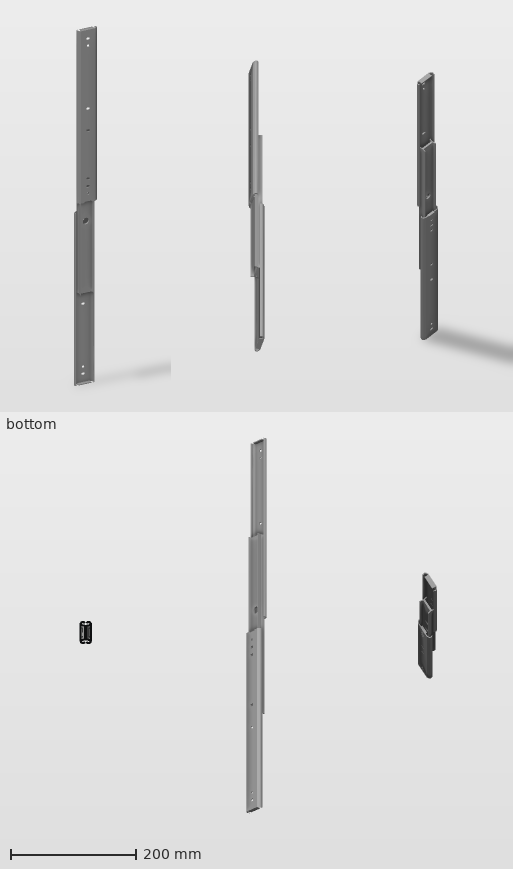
import cadquery as cq
import math


slide_length = 631.0
slide_height = 35.5
rail_length = 305.0

outer_wall = 1.6
outer_rail_bottom = -slide_length / 2
race_center_x = -4.5
race_width = 10.0
web_face_x = race_center_x - race_width / 2
web_half_height = 12.5
race_top = slide_height / 2
race_shoulder_x = -7.25
race_shoulder_y = 16.5
race_lip_x = -1.0
race_lip_y = 16.5

web_edge_tilt = 25
shoulder_tilt = 47
top_tilt = 90
lip_tilt = 115

stop_thickness = 1.6
end_plate_reach = 6.0
end_plate_height = 23.0
stop_tab_reach = 2.5
stop_tab_height = 14.0
stop_tab_drop = 2.0

slot_length = 6.0
slot_height = 4.0
slot_heights = [16.0, 139.5, 178.0, 263.0, 276.5]
round_hole_diameter = 4.5
round_hole_heights = [28.5, 289.0]

inner_wall = 1.6
inner_rail_depth = 6.6
flange_root_y = 11.5
flange_bend_x = -2.85
flange_bend_y = 12.0
flange_lip_y = 12.5
access_hole_height = 289.5
access_hole_diameter = 11.5


def race_curve(inset):
    """Points and tangents of the race wall in XY, moved inward by inset along the normals."""
    stations = [
        (web_face_x, web_half_height, web_edge_tilt),
        (race_shoulder_x, race_shoulder_y, shoulder_tilt),
        (race_center_x, race_top, top_tilt),
        (race_lip_x, race_lip_y, lip_tilt),
    ]
    points = []
    tangents = []
    for x, y, tilt in stations:
        angle = math.radians(tilt)
        points.append((x + inset * math.cos(angle), y - inset * math.sin(angle)))
        tangents.append((math.sin(angle), math.cos(angle)))
    points[0] = (web_face_x + inset, web_half_height)
    return points, tangents


def flipped(vectors):
    """The same points or directions mirrored to the -Y half."""
    return [(x, -y) for x, y in vectors]


def reversed_curve(points, tangents):
    """The same curve run the other way."""
    return points[::-1], [(-x, -y) for x, y in tangents[::-1]]


def outer_section():
    """Outer rail section: +Y race out and back, then -Y race out and back."""
    outside, outside_tangents = race_curve(0)
    inside, inside_tangents = reversed_curve(*race_curve(outer_wall))
    lower_outside, lower_outside_tangents = reversed_curve(flipped(outside), flipped(outside_tangents))
    lower_inside, lower_inside_tangents = reversed_curve(flipped(inside), flipped(inside_tangents))
    return (
        cq.Workplane("XY", origin=(0, 0, outer_rail_bottom))
        .moveTo(*outside[0])
        .spline(outside, tangents=outside_tangents)
        .lineTo(*inside[0])
        .spline(inside, tangents=inside_tangents)
        .lineTo(*lower_inside[0])
        .spline(lower_inside, tangents=lower_inside_tangents)
        .lineTo(*lower_outside[0])
        .spline(lower_outside, tangents=lower_outside_tangents)
        .close()
    )


def stop(reach, height, bottom):
    """Plate bent inward from the outer rail web, starting at its inner face."""
    plate = cq.Workplane("XY", origin=(web_face_x + outer_wall, 0, bottom))
    return plate.box(reach, height, stop_thickness, centered=(False, True, False))


def web_plane(height):
    """YZ plane on the web's outer face, with its origin at a height above the closed end."""
    return cq.Workplane("YZ", origin=(web_face_x, 0, outer_rail_bottom + height))


def outer_rail():
    rail = outer_section().extrude(rail_length)

    rail = rail.union(stop(end_plate_reach, end_plate_height, outer_rail_bottom))

    notch = web_plane(rail_length).rect(stop_tab_height, 2 * stop_tab_drop).extrude(outer_wall)
    tab_bottom = outer_rail_bottom + rail_length - stop_tab_drop - stop_thickness
    rail = rail.cut(notch).union(stop(stop_tab_reach, stop_tab_height, tab_bottom))

    for height in slot_heights:
        rail = rail.cut(web_plane(height).rect(slot_length, slot_height).extrude(outer_wall))
    for height in round_hole_heights:
        rail = rail.cut(web_plane(height).circle(round_hole_diameter / 2).extrude(outer_wall))
    return rail


def inner_rail():
    flange_outside = [
        (0, flange_root_y),
        (flange_bend_x, flange_bend_y),
        (-inner_rail_depth, flange_lip_y),
    ]
    root_slope = (flange_bend_y - flange_root_y) / -flange_bend_x
    flange_inside = [
        (-inner_rail_depth, flange_lip_y - inner_wall),
        (flange_bend_x, flange_bend_y - inner_wall),
        (-inner_wall, flange_root_y + inner_wall * root_slope - inner_wall),
    ]
    upper_half = flange_outside + flange_inside
    lower_half = [(x, -y) for x, y in upper_half[::-1]]
    section = cq.Workplane("XY", origin=(0, 0, -rail_length / 2)).polyline(upper_half + lower_half)
    rail = section.close().extrude(rail_length)

    access_z = outer_rail_bottom + access_hole_height
    for z in (access_z, -access_z):
        hole = cq.Workplane("YZ", origin=(-inner_wall, 0, z)).circle(access_hole_diameter / 2)
        rail = rail.cut(hole.extrude(inner_wall))
    return rail


def opposite(rail):
    """The partner rail: the same rail turned half a turn about the Y axis."""
    return rail.rotate((0, 0, 0), (0, 1, 0), 180)


rails = []
for rail in (outer_rail(), inner_rail()):
    rails.append(rail.val())
    rails.append(opposite(rail).val())

result = cq.Compound.makeCompound(rails)